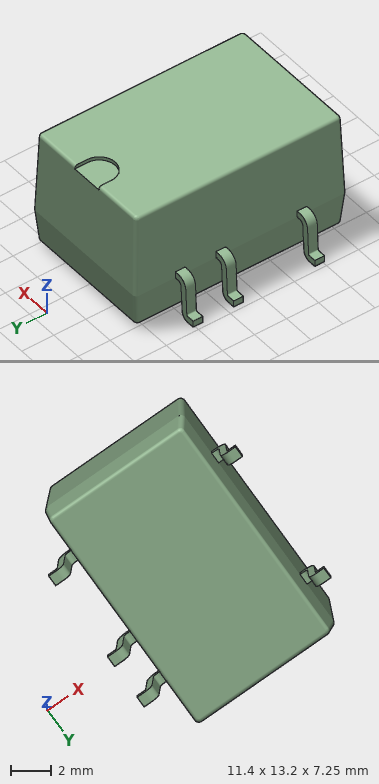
import cadquery as cq
import math

body_width = 8.5
body_length = 13.2
body_top = 7.25
body_bottom = 0.2
parting_height = 2.25
upper_draft = 2.0
lower_draft = 5.0
corner_radius = 0.25
rim_radius = 0.2

notch_width = 1.98
notch_reach = 1.94
notch_depth = 0.21

lead_span = 11.4
lead_thickness = 0.4
lead_width = 0.61
lead_embed = 0.4
leg_lean = 3.0
foot_length = 0.51
knee_inner_radius = 0.24
ankle_inner_radius = 0.07
lead_pitch = 2.53
left_lead_rows = (1.5, 0.5, -1.5)
right_lead_rows = (1.5, -1.5)


def make_half(height, draft):
    """Half of the body, from the parting plane to a height above (+) or below (-) it."""
    return (
        cq.Workplane("XY")
        .workplane(offset=parting_height)
        .rect(body_width, body_length)
        .extrude(height, taper=draft)
    )


def make_body():
    upper = make_half(body_top - parting_height, upper_draft)
    lower = make_half(body_bottom - parting_height, lower_draft)
    body = upper.union(lower).edges("not #Z").fillet(corner_radius)
    return body.faces("<Z or >Z").edges().fillet(rim_radius)


def make_notch():
    """Slot with a round inner end, running out through the +Y side."""
    radius = notch_width / 2
    end_y = body_length / 2
    centre_y = end_y - notch_reach + radius
    return (
        cq.Workplane("XY")
        .workplane(offset=body_top - notch_depth)
        .moveTo(-radius, end_y)
        .lineTo(-radius, centre_y)
        .threePointArc((0, centre_y - radius), (radius, centre_y))
        .lineTo(radius, end_y)
        .close()
        .extrude(notch_depth)
    )


def make_left_lead(y):
    """Lead on the -X side, centred on the given Y."""
    lean = math.tan(math.radians(leg_lean))
    leg_thickness = lead_thickness / math.cos(math.radians(leg_lean))
    tip_x = -lead_span / 2
    root_x = lead_embed - body_width / 2
    shoulder_bottom = parting_height
    shoulder_top = shoulder_bottom + lead_thickness
    ankle_x = tip_x + foot_length

    def leg_outer_x(z):
        return ankle_x + (z - lead_thickness) * lean

    ankle_inner = (ankle_x, lead_thickness)
    knee_outer = (leg_outer_x(shoulder_top), shoulder_top)
    knee_inner = (leg_outer_x(shoulder_bottom) + leg_thickness, shoulder_bottom)
    ankle_outer = (leg_outer_x(0) + leg_thickness, 0)
    lead = (
        cq.Workplane("XZ", origin=(0, y + lead_width / 2, 0))
        .polyline([
            (tip_x, 0),
            (tip_x, lead_thickness),
            ankle_inner,
            knee_outer,
            (root_x, shoulder_top),
            (root_x, shoulder_bottom),
            knee_inner,
            ankle_outer,
        ])
        .close()
        .extrude(lead_width)
    )
    bends = (
        (knee_inner, knee_inner_radius),
        (knee_outer, knee_inner_radius + lead_thickness),
        (ankle_inner, ankle_inner_radius),
        (ankle_outer, ankle_inner_radius + lead_thickness),
    )
    for (x, z), radius in bends:
        lead = lead.edges(cq.NearestToPointSelector((x, y, z))).fillet(radius)
    return lead


result = make_body().cut(make_notch())
for row in left_lead_rows:
    result = result.union(make_left_lead(row * lead_pitch))
for row in right_lead_rows:
    result = result.union(make_left_lead(row * lead_pitch).mirror("YZ"))